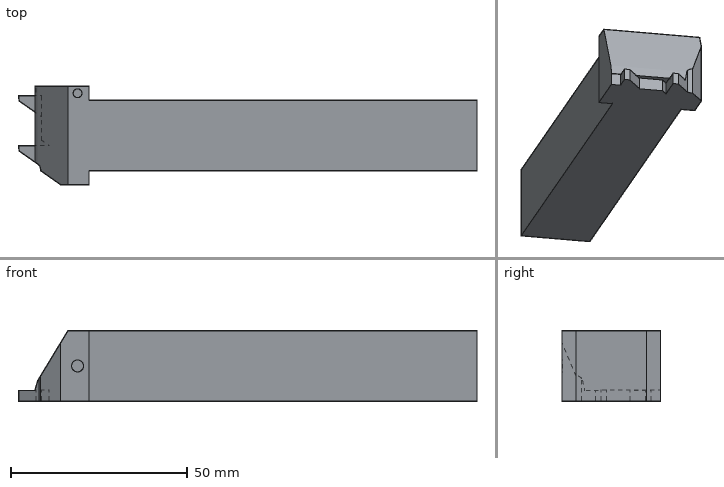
import cadquery as cq
import math

length = 130.0
shank_size = 20.0
head_width = 28.0
head_back_x = 20.0
half_head = head_width / 2

lip_x = 4.7
lip_z = 3.2
slope_start_x = 5.5
slope_start_z = 5.8
slope_end_x = 14.0

relief_slope = math.tan(math.radians(35))
corner_x = 12.0
shoulder_y = -shank_size / 2
shoulder_x = corner_x - (half_head + shoulder_y) / relief_slope

tooth_count = 2
tooth_height = 3.1
first_tooth_y = 11.3
tooth_pitch = 14.2
tip_width = 1.5
tip_set_back = 0.2

outer_wall_x = 5.0
inner_wall_x = 6.5
inner_wall_end_y = -1.3
second_tooth_y = first_tooth_y - tooth_pitch

relief_root_x = 5.8
relief_root_y = second_tooth_y - tip_width - (relief_root_x - tip_set_back) * relief_slope
curve_bulge = 0.1
curve_mid_x = (relief_root_x + shoulder_x) / 2 + curve_bulge
curve_mid_y = (relief_root_y + shoulder_y) / 2

notch_depth = (inner_wall_end_y - second_tooth_y) / relief_slope
notch_x = inner_wall_x + notch_depth

mark_depth = 0.1
mark_x = 16.8
side_mark_diameter = 3.4
top_mark_y = 12.0
top_mark_diameter = 2.5


def make_shank():
    shank_length = length - slope_end_x
    shank = cq.Workplane("XY").box(shank_length, shank_size, shank_size, centered=(False, True, False))
    return shank.translate((slope_end_x, 0, 0))


def make_head():
    side = [
        (lip_x, 0),
        (lip_x, lip_z),
        (slope_start_x, slope_start_z),
        (slope_end_x, shank_size),
        (head_back_x, shank_size),
        (head_back_x, 0),
    ]
    profile = cq.Workplane("XZ").polyline(side).close().extrude(half_head, both=True)
    outline = (
        cq.Workplane("XY")
        .moveTo(0, half_head)
        .lineTo(0, relief_root_y + relief_root_x * relief_slope)
        .lineTo(relief_root_x, relief_root_y)
        .threePointArc((curve_mid_x, curve_mid_y), (shoulder_x, shoulder_y))
        .lineTo(corner_x, -half_head)
        .lineTo(head_back_x, -half_head)
        .lineTo(head_back_x, half_head)
        .close()
        .extrude(shank_size)
    )
    return profile.intersect(outline)


def make_lip_recess():
    """Space below the lip, with an outer wall, an inner wall and an angled notch."""
    plan = [
        (0, half_head),
        (outer_wall_x, half_head),
        (outer_wall_x, first_tooth_y),
        (inner_wall_x, first_tooth_y),
        (inner_wall_x, inner_wall_end_y),
        (notch_x, second_tooth_y),
        (0, second_tooth_y),
    ]
    return cq.Workplane("XY").polyline(plan).close().extrude(lip_z)


def make_tooth(edge_y):
    """Tooth with a straight edge, a narrow tip and a relieved flank."""
    tip_y = edge_y - tip_width
    flank_end_y = tip_y - (inner_wall_x - tip_set_back) * relief_slope
    plan = [
        (0, edge_y),
        (notch_x, edge_y),
        (notch_x, flank_end_y),
        (inner_wall_x, flank_end_y),
        (tip_set_back, tip_y),
    ]
    return cq.Workplane("XY").polyline(plan).close().extrude(tooth_height)


def make_side_mark():
    plane = cq.Workplane("XZ", origin=(mark_x, -half_head, shank_size / 2))
    return plane.circle(side_mark_diameter / 2).extrude(-mark_depth)


def make_top_mark():
    plane = cq.Workplane("XY", origin=(mark_x, top_mark_y, shank_size))
    return plane.circle(top_mark_diameter / 2).extrude(-mark_depth)


result = make_head().cut(make_lip_recess()).union(make_shank())
for index in range(tooth_count):
    result = result.union(make_tooth(first_tooth_y - index * tooth_pitch))
result = result.cut(make_side_mark()).cut(make_top_mark())